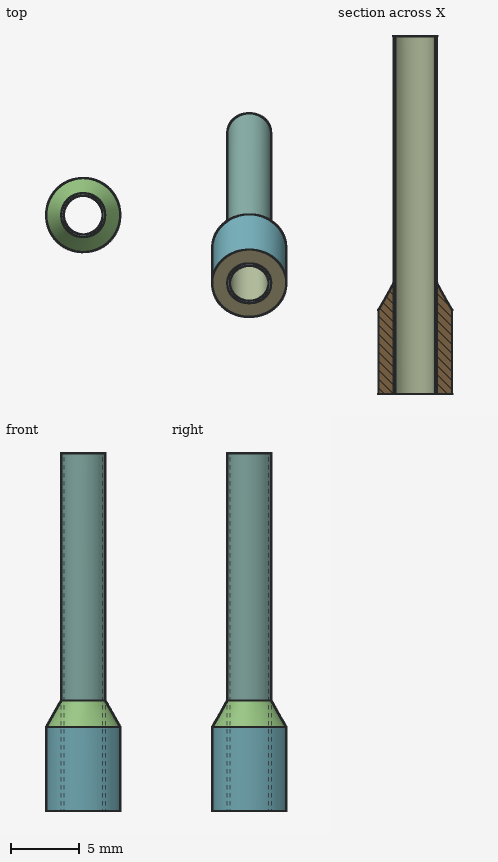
import cadquery as cq

total_length = 26.0

tube_outer_diameter = 3.2
tube_wall = 0.2
tube_inner_diameter = tube_outer_diameter - 2 * tube_wall

collar_diameter = 5.4
collar_straight_height = 6.1
collar_cone_height = 1.95
collar_height = collar_straight_height + collar_cone_height


def make_tube():
    """Plain sleeve running the full length of the ferrule."""
    return (
        cq.Workplane("XY")
        .circle(tube_outer_diameter / 2)
        .circle(tube_inner_diameter / 2)
        .extrude(total_length)
    )


def make_collar():
    """Cylinder tapering to the tube's outer wall at its top, bored to fit around the tube."""
    bore_radius = tube_outer_diameter / 2
    outer_radius = collar_diameter / 2
    return (
        cq.Workplane("XZ")
        .moveTo(bore_radius, 0)
        .lineTo(outer_radius, 0)
        .lineTo(outer_radius, collar_straight_height)
        .lineTo(bore_radius, collar_height)
        .close()
        .revolve(360, (0, 0, 0), (0, 1, 0))
    )


tube = make_tube()
collar = make_collar()

result = cq.Compound.makeCompound([tube.val(), collar.val()])